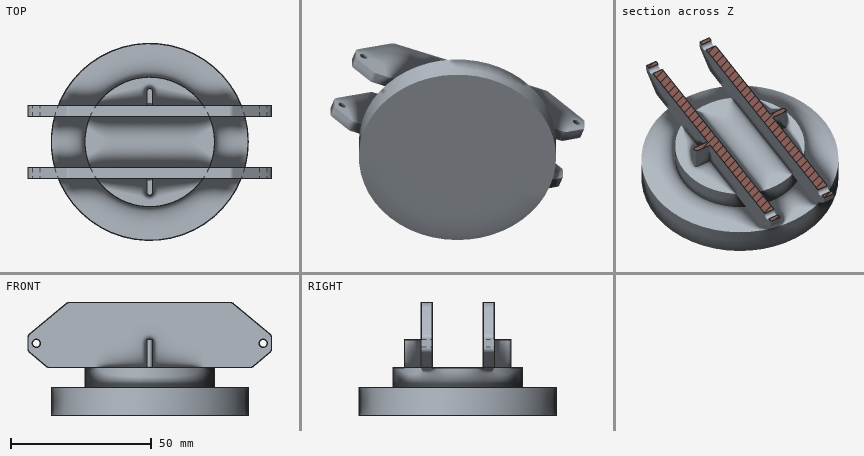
import cadquery as cq

base_diameter = 70.0
base_height = 10.0
boss_diameter = 46.0
boss_height = 7.0
boss_top = base_height + boss_height

plate_length = 86.7
plate_height = 23.2
plate_thickness = 4.0
plate_inner_y = 9.0
top_edge_length = 58.2
bottom_edge_length = 72.45
end_edge_bottom = 6.0
end_edge_top = 11.4
corner_radius = 2.0

hole_diameter = 2.8
hole_spacing = 80.6
hole_height = 8.7

rib_width = 2.0
rib_height = 10.0
rib_outer_y = 19.0
rib_root_y = plate_inner_y + plate_thickness / 2


def make_base():
    base = cq.Workplane("XY").circle(base_diameter / 2).extrude(base_height)
    boss = (
        cq.Workplane("XY", origin=(0, 0, base_height))
        .circle(boss_diameter / 2)
        .extrude(boss_height)
    )
    return base.union(boss)


def make_plate():
    """Eight-sided plate on the -Y side, standing on the boss."""
    right_side = [
        (bottom_edge_length / 2, 0),
        (plate_length / 2, end_edge_bottom),
        (plate_length / 2, end_edge_top),
        (top_edge_length / 2, plate_height),
    ]
    left_side = [(-x, z) for x, z in reversed(right_side)]
    face = cq.Workplane("XZ", origin=(0, -plate_inner_y, boss_top))
    plate = (
        face.polyline(right_side + left_side)
        .close()
        .extrude(plate_thickness)
        .edges("|Y")
        .fillet(corner_radius)
    )
    holes = (
        face.pushPoints([(side * hole_spacing / 2, hole_height) for side in (-1, 1)])
        .circle(hole_diameter / 2)
        .extrude(plate_thickness)
    )
    return plate.cut(holes)


def make_rib():
    """Upright rib reaching from the -Y plate to its rounded nose."""
    nose_radius = rib_width / 2
    nose_start_y = rib_outer_y - nose_radius
    return (
        cq.Workplane("XY", origin=(0, 0, boss_top))
        .moveTo(-nose_radius, -rib_root_y)
        .lineTo(-nose_radius, -nose_start_y)
        .threePointArc((0, -rib_outer_y), (nose_radius, -nose_start_y))
        .lineTo(nose_radius, -rib_root_y)
        .close()
        .extrude(rib_height)
    )


upright = make_plate().union(make_rib())
result = make_base().union(upright).union(upright.mirror("XZ"))